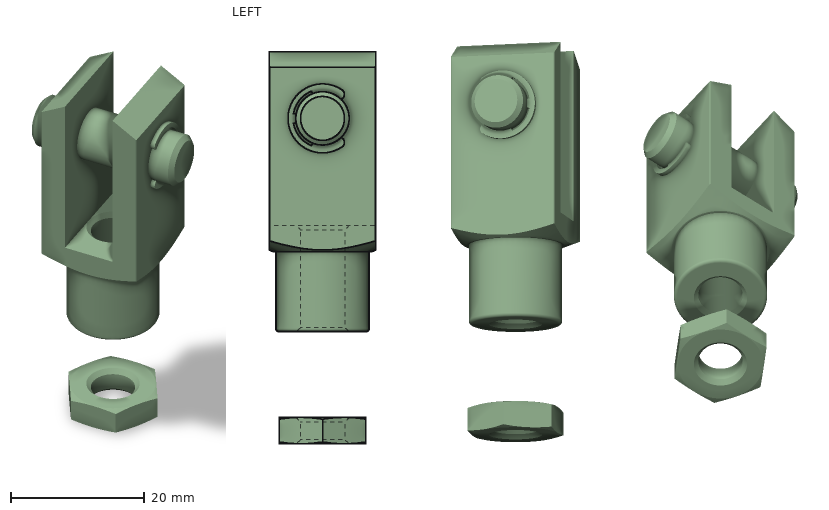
import cadquery as cq
import math

TOTAL_HEIGHT = 58.8
FORK_LENGTH = 42.0
SHANK_LENGTH = 12.0
SHANK_BOTTOM = TOTAL_HEIGHT - FORK_LENGTH
BLOCK_BOTTOM = SHANK_BOTTOM + SHANK_LENGTH

FORK_WIDTH = 16.0
SLOT_WIDTH = FORK_WIDTH / 2
SLOT_DEPTH = 26.0
SLOT_FLOOR = TOTAL_HEIGHT - SLOT_DEPTH
BLOCK_EDGE_CHAMFER = 0.1
TIP_SLOPE = 30.0
BASE_CONE_RADIUS = 7.35
BASE_CONE_SLOPE = 22.5
SHANK_DIAMETER = 14.0
SHANK_FILLET = 0.5

BORE_DIAMETER = 6.65
BORE_MOUTH_DIAMETER = 8.0
BORE_CHAMFER = (BORE_MOUTH_DIAMETER - BORE_DIAMETER) / 2

PIN_DIAMETER = 8.0
PIN_LENGTH = 24.0
PIN_CHAMFER = 0.7
PIN_HEIGHT = 48.8

CLIP_THICKNESS = 0.7
CLIP_RADIUS = 5.2
CLIP_RECESS_RADIUS = 4.4
CLIP_END_ANGLE = 56.5
CLIP_TIP = (3.3, 3.65)
CLIP_INNER_ANGLE = 46.0
RECESS_START_ANGLE = 112.0
RECESS_END_ANGLE = 170.5

NUT_HEIGHT = 4.0
NUT_ACROSS_FLATS = 13.0
NUT_FACE_DIAMETER = 12.8
NUT_CHAMFER_SLOPE = 15.0


def polar(radius, degrees):
    """Point at a radius and an angle in a sketch plane."""
    angle = math.radians(degrees)
    return (radius * math.cos(angle), radius * math.sin(angle))


def make_bore(bottom, top):
    """Cutter for a through bore chamfered at both mouths."""
    bore_radius = BORE_DIAMETER / 2
    mouth_radius = BORE_MOUTH_DIAMETER / 2
    return (
        cq.Workplane("XZ")
        .moveTo(0, bottom)
        .lineTo(mouth_radius, bottom)
        .lineTo(bore_radius, bottom + BORE_CHAMFER)
        .lineTo(bore_radius, top - BORE_CHAMFER)
        .lineTo(mouth_radius, top)
        .lineTo(0, top)
        .close()
        .revolve(360, (0, 0, 0), (0, 1, 0))
    )


def make_fork():
    """Slotted square block with sloped tips, a coned base and a bored shank."""
    half_width = FORK_WIDTH / 2
    half_slot = SLOT_WIDTH / 2
    shoulder = TOTAL_HEIGHT - (half_width - half_slot) * math.tan(math.radians(TIP_SLOPE))
    block = (
        cq.Workplane("XY", origin=(0, 0, BLOCK_BOTTOM))
        .rect(FORK_WIDTH, FORK_WIDTH)
        .extrude(TOTAL_HEIGHT - BLOCK_BOTTOM)
        .edges("|Z")
        .chamfer(BLOCK_EDGE_CHAMFER)
    )
    side_profile = (
        cq.Workplane("XZ")
        .polyline([
            (-half_width, BLOCK_BOTTOM),
            (half_width, BLOCK_BOTTOM),
            (half_width, shoulder),
            (half_slot, TOTAL_HEIGHT),
            (half_slot, SLOT_FLOOR),
            (-half_slot, SLOT_FLOOR),
            (-half_slot, TOTAL_HEIGHT),
            (-half_width, shoulder),
        ])
        .close()
        .extrude(half_width, both=True)
    )
    envelope_radius = FORK_WIDTH
    cone_rise = (envelope_radius - BASE_CONE_RADIUS) * math.tan(math.radians(BASE_CONE_SLOPE))
    cone_envelope = (
        cq.Workplane("XZ")
        .polyline([
            (0, BLOCK_BOTTOM),
            (BASE_CONE_RADIUS, BLOCK_BOTTOM),
            (envelope_radius, BLOCK_BOTTOM + cone_rise),
            (envelope_radius, TOTAL_HEIGHT),
            (0, TOTAL_HEIGHT),
        ])
        .close()
        .revolve(360, (0, 0, 0), (0, 1, 0))
    )
    shank = (
        cq.Workplane("XY", origin=(0, 0, SHANK_BOTTOM))
        .circle(SHANK_DIAMETER / 2)
        .extrude(SHANK_LENGTH)
        .faces("<Z")
        .edges()
        .fillet(SHANK_FILLET)
    )
    fork = block.intersect(side_profile).intersect(cone_envelope).union(shank)
    return fork.cut(make_bore(SHANK_BOTTOM, SLOT_FLOOR))


def make_pin():
    """Cross pin along X, chamfered at both ends."""
    return (
        cq.Workplane("YZ", origin=(-PIN_LENGTH / 2, 0, PIN_HEIGHT))
        .circle(PIN_DIAMETER / 2)
        .extrude(PIN_LENGTH)
        .faces("<X or >X")
        .chamfer(PIN_CHAMFER)
    )


def make_clip_recess(mirror):
    """Cutter for the gap between clip and pin; mirror is 1 above the pin axis, -1 below."""
    pin_radius = PIN_DIAMETER / 2
    start = mirror * RECESS_START_ANGLE
    end = mirror * RECESS_END_ANGLE
    middle = (start + end) / 2
    return (
        cq.Workplane(clip_plane())
        .moveTo(*polar(pin_radius, start))
        .lineTo(*polar(CLIP_RECESS_RADIUS, start))
        .threePointArc(polar(CLIP_RECESS_RADIUS, middle), polar(CLIP_RECESS_RADIUS, end))
        .lineTo(*polar(pin_radius, end))
        .threePointArc(polar(pin_radius, middle), polar(pin_radius, start))
        .close()
        .extrude(CLIP_THICKNESS)
    )


def clip_plane():
    """Plane on the -X face of the fork: local x is -Y, local y is Z, normal is -X."""
    return cq.Plane(origin=(-FORK_WIDTH / 2, 0, PIN_HEIGHT), xDir=(0, -1, 0), normal=(-1, 0, 0))


def make_clip():
    """C-shaped clip on the -X face of the fork, open towards -Y."""
    pin_radius = PIN_DIAMETER / 2
    tip_x, tip_y = CLIP_TIP
    clip = (
        cq.Workplane(clip_plane())
        .moveTo(*polar(CLIP_RADIUS, CLIP_END_ANGLE))
        .threePointArc((-CLIP_RADIUS, 0), polar(CLIP_RADIUS, -CLIP_END_ANGLE))
        .threePointArc((tip_x, -tip_y), polar(pin_radius, -CLIP_INNER_ANGLE))
        .threePointArc((-pin_radius, 0), polar(pin_radius, CLIP_INNER_ANGLE))
        .threePointArc((tip_x, tip_y), polar(CLIP_RADIUS, CLIP_END_ANGLE))
        .close()
        .extrude(CLIP_THICKNESS)
    )
    for mirror in (1, -1):
        clip = clip.cut(make_clip_recess(mirror))
    return clip


def make_clevis():
    """Fork, pin and both retaining clips as one body."""
    clip = make_clip()
    return make_fork().union(make_pin()).union(clip).union(clip.mirror("YZ"))


def make_nut():
    """Hexagonal nut with two flats facing Y and corners chamfered on both faces."""
    corner_diameter = NUT_ACROSS_FLATS / math.cos(math.radians(30))
    corner_radius = corner_diameter / 2
    face_radius = NUT_FACE_DIAMETER / 2
    corner_drop = (corner_radius - face_radius) * math.tan(math.radians(NUT_CHAMFER_SLOPE))
    hexagon = cq.Workplane("XY").polygon(6, corner_diameter).extrude(NUT_HEIGHT)
    envelope = (
        cq.Workplane("XZ")
        .polyline([
            (0, 0),
            (face_radius, 0),
            (corner_radius, corner_drop),
            (corner_radius, NUT_HEIGHT - corner_drop),
            (face_radius, NUT_HEIGHT),
            (0, NUT_HEIGHT),
        ])
        .close()
        .revolve(360, (0, 0, 0), (0, 1, 0))
    )
    return hexagon.intersect(envelope).cut(make_bore(0, NUT_HEIGHT))


clevis = make_clevis()
nut = make_nut()
result = cq.Compound.makeCompound([clevis.val(), nut.val()])